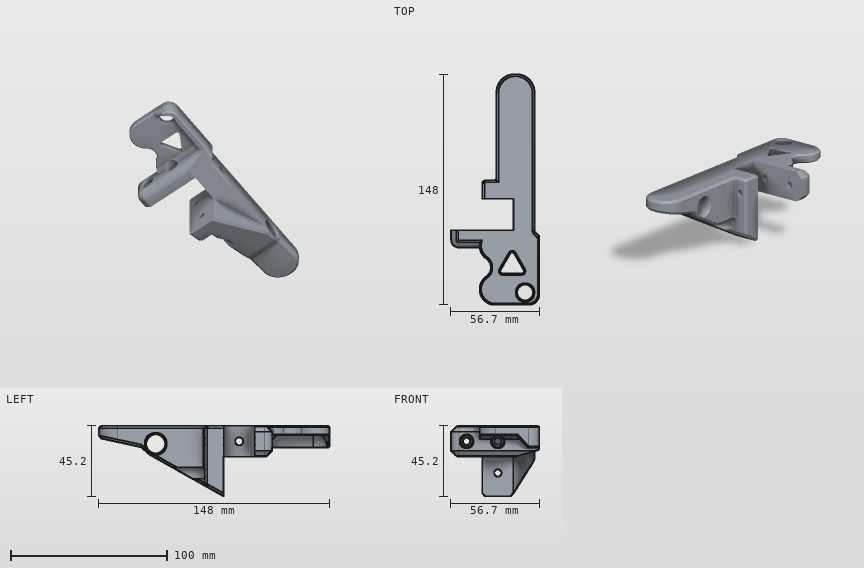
import cadquery as cq
import math

TUBE = 20.0
ARM_TIP_X = -40.0
RIGHT_X = 16.65
FRONT_Y = -48.0
GRIP_END_Y = 100.0
ARM_HEIGHT = 20.0

GRIP_LEFT_X = -11.0
GRIP_RIGHT_X = RIGHT_X - 3.0
GRIP_TIP_RADIUS = 12.0
GRIP_TOP_CHAMFER = 1.5
GRIP_BOTTOM_CHAMFER = 1.7
GRIP_HEIGHT = 45.2
BLOCK_BACK_Y = TUBE + 12.0
TIP_DEPTH = 7.9
UNDERSIDE_STEP = (72.8, -13.8)
UNDERSIDE_BEND = (67.4, -18.5)
BACK_CORNER = 0.9
FINGER_HOLE_Y = 63.5
FINGER_HOLE_Z = -11.6
FINGER_HOLE_DIAMETER = 12.1
FINGER_HOLE_CHAMFER = 1.1

SLOPE_END_Z = -15.5
RELIEF_KNEE = (11.8, 53.3)
RELIEF_END_Y = 60.0

ARM_FRONT_Y = -11.2
ARM_CORNER_RADIUS = 5.0
ARM_BEVEL_HEIGHT = 4.0
ARM_FLAT_HEIGHT = 0.7
ARM_FLAT_INSET = 1.5

PLATE_THICKNESS = 6.2
PLATE_CHAMFER = 1.0
LOBE_RADIUS = 10.0
LOBE_X = -11.7
SCALLOP_RADIUS = 7.1
HEAD_CORNER_RADIUS = 7.0
SHOULDER_Y = -1.0
RAIL_DEPTH = 14.0
RAIL_INNER_X = 13.0
LIP_INNER_Y = FRONT_Y + HEAD_CORNER_RADIUS
LIP_TOP_X = 2.0
LIP_BOTTOM_X = 9.3
RAIL_CHAMFER = 0.9
GUSSET = 2.6

ROUND_X = 7.5
ROUND_Y = -40.0
ROUND_DIAMETER = 10.1
RECESS_DIAMETER = 12.1
TRIANGLE_X = -0.8
TRIANGLE_Y = -22.8
TRIANGLE_INRADIUS = 5.0
TRIANGLE_FILLET = 1.5
SCREW_DIAMETER = 4.5
HEAD_BORE_DIAMETER = 7.5
HEAD_BORE_DEPTH = 4.0
HEAD_RIM_DIAMETER = 9.0
SCREW_Z = -10.0
ARM_SCREWS_X = (-1.5 * TUBE, -0.5 * TUBE)
SIDE_HOLE_DIAMETER = 5.0
LOW_SCREW_X = -0.5 * TUBE
LOW_SCREW_Z = -30.3
BLOCK_HOLE_X = -15.0


def box(x0, x1, y0, y1, z0, z1):
    return cq.Workplane("XY").box(x1 - x0, y1 - y0, z1 - z0, centered=False).translate((x0, y0, z0))


def rod(diameter, start, direction, length):
    return cq.Workplane(cq.Solid.makeCylinder(diameter / 2, length, cq.Vector(*start), cq.Vector(*direction)))


def cone(start_diameter, end_diameter, start, direction, length):
    return cq.Workplane(
        cq.Solid.makeCone(start_diameter / 2, end_diameter / 2, length, cq.Vector(*start), cq.Vector(*direction))
    )


def below_slope(y0, y1):
    """Wedge of space under the sloping underside, right of X = 0."""
    return (
        cq.Workplane("XZ", origin=(0, y1, 0))
        .polyline([(0, -ARM_HEIGHT), (RIGHT_X, SLOPE_END_Z), (RIGHT_X, -GRIP_HEIGHT), (0, -GRIP_HEIGHT)])
        .close()
        .extrude(y1 - y0)
    )


def grip_profile():
    """Side shape of the grip between X = -TUBE and the right side of the grip."""
    return (
        cq.Workplane("YZ", origin=(-TUBE, 0, 0))
        .polyline([(TUBE, 0), (GRIP_END_Y, 0), (GRIP_END_Y, -TIP_DEPTH),
                   UNDERSIDE_STEP, UNDERSIDE_BEND, (TUBE, -GRIP_HEIGHT)])
        .close()
        .extrude(TUBE + GRIP_RIGHT_X)
    )


def underside_bevel(wall_start, wall_end, inward):
    """Space above a bevel that follows the underside along an upright wall.

    The wall runs through two (x, y) points; inward is +1 or -1, the X direction into the material.
    """
    (x0, y0), (x1, y1) = wall_start, wall_end
    lean = (x1 - x0) / (y1 - y0)
    tip_slope = (UNDERSIDE_STEP[1] + TIP_DEPTH) / (GRIP_END_Y - UNDERSIDE_STEP[0])
    rise = GRIP_BOTTOM_CHAMFER * math.hypot(1, tip_slope)
    steepness = rise / GRIP_BOTTOM_CHAMFER / math.hypot(1, lean)
    reach = RIGHT_X - ARM_TIP_X
    drop = steepness * reach
    underside = [(TUBE, -GRIP_HEIGHT), UNDERSIDE_BEND, UNDERSIDE_STEP]
    section = [(y, z + rise) for y, z in underside]
    section += [(UNDERSIDE_STEP[0], drop), (TUBE, drop)]
    points = [cq.Vector(x0 + lean * (y - y0) - inward * reach, y, z + drop) for y, z in section]
    face = cq.Face.makeFromWires(cq.Wire.makePolygon(points, close=True))
    return cq.Workplane(cq.Solid.extrudeLinear(face, cq.Vector(2 * inward * reach, 0, -2 * drop)))


def make_handle():
    step_y = UNDERSIDE_STEP[0]
    bar = box(GRIP_LEFT_X, GRIP_RIGHT_X, TUBE, GRIP_END_Y, -GRIP_HEIGHT, 0)
    bar = bar.edges("|Z and >Y").fillet(GRIP_TIP_RADIUS)
    bar = bar.faces(">Z").edges("not <Y").chamfer(GRIP_TOP_CHAMFER).intersect(grip_profile())

    tip = bar.intersect(box(GRIP_LEFT_X, GRIP_RIGHT_X, step_y, GRIP_END_Y, -GRIP_HEIGHT, 0))
    tip = tip.faces("<Z").edges("not <Y").chamfer(GRIP_BOTTOM_CHAMFER)

    relief = (
        cq.Workplane("XY", origin=(0, 0, -GRIP_HEIGHT))
        .polyline([(0, TUBE), RELIEF_KNEE, (GRIP_RIGHT_X, RELIEF_END_Y), (RIGHT_X, RELIEF_END_Y), (RIGHT_X, TUBE)])
        .close()
        .extrude(GRIP_HEIGHT)
        .intersect(below_slope(TUBE, RELIEF_END_Y))
    )
    root = bar.intersect(box(GRIP_LEFT_X, GRIP_RIGHT_X, TUBE, step_y, -GRIP_HEIGHT, 0)).cut(relief)
    root = root.intersect(underside_bevel((GRIP_LEFT_X, TUBE), (GRIP_LEFT_X, step_y), 1))
    root = root.intersect(underside_bevel((GRIP_RIGHT_X, TUBE), (GRIP_RIGHT_X, step_y), -1))
    root = root.intersect(underside_bevel((0, TUBE), RELIEF_KNEE, -1))
    return root.union(tip)


def make_block():
    """Upright block behind the tube seat."""
    block = box(-TUBE, 0, TUBE, BLOCK_BACK_Y, -GRIP_HEIGHT, 0)
    block = block.edges("|Z and <X and >Y").chamfer(GRIP_TOP_CHAMFER)
    block = block.faces(">Z").edges("not (<Y or >X)").chamfer(GRIP_TOP_CHAMFER)
    block = block.intersect(grip_profile())
    return block.faces("<Z").edges("not <Y").chamfer(GRIP_BOTTOM_CHAMFER)


def make_back_corner():
    """Small sloped filling in the upright corner between the block back and the grip side."""
    return (
        cq.Workplane("XY", origin=(0, 0, LOW_SCREW_Z))
        .polyline([(GRIP_LEFT_X, BLOCK_BACK_Y), (GRIP_LEFT_X - BACK_CORNER, BLOCK_BACK_Y),
                   (GRIP_LEFT_X, BLOCK_BACK_Y + BACK_CORNER)])
        .close()
        .extrude(-LOW_SCREW_Z - GRIP_TOP_CHAMFER)
    )


def make_bridge():
    """Side wall of the tube seat, which joins the grip to the head."""
    bridge = box(0, GRIP_RIGHT_X, SHOULDER_Y, TUBE, -ARM_HEIGHT, 0)
    bridge = bridge.edges(">X and >Z").chamfer(GRIP_TOP_CHAMFER)
    bridge = bridge.cut(below_slope(SHOULDER_Y, TUBE))
    return bridge.faces(">X").edges("<Z").chamfer(RAIL_CHAMFER)


def head_outline():
    """Outline of the head: two round lobes on the left joined by a finger scallop, straight on the right."""
    low_y = FRONT_Y + LOBE_RADIUS
    high_y = -LOBE_RADIUS
    mid_y = (low_y + high_y) / 2
    reach = LOBE_RADIUS + SCALLOP_RADIUS
    rise = mid_y - low_y
    run = math.sqrt(reach ** 2 - rise ** 2)
    blend_x = LOBE_X - run * LOBE_RADIUS / reach
    blend_rise = rise * LOBE_RADIUS / reach
    step = RIGHT_X - GRIP_RIGHT_X
    corner_x = RIGHT_X - HEAD_CORNER_RADIUS
    corner_y = FRONT_Y + HEAD_CORNER_RADIUS
    diagonal = math.sqrt(0.5) * HEAD_CORNER_RADIUS
    return (
        cq.Workplane("XY")
        .moveTo(LOBE_X, 0)
        .lineTo(GRIP_RIGHT_X, 0)
        .lineTo(GRIP_RIGHT_X, SHOULDER_Y)
        .lineTo(RIGHT_X, SHOULDER_Y - step)
        .lineTo(RIGHT_X, corner_y)
        .threePointArc((corner_x + diagonal, corner_y - diagonal), (corner_x, FRONT_Y))
        .lineTo(LOBE_X, FRONT_Y)
        .threePointArc((LOBE_X - LOBE_RADIUS, low_y), (blend_x, low_y + blend_rise))
        .threePointArc((LOBE_X - run + SCALLOP_RADIUS, mid_y), (blend_x, high_y - blend_rise))
        .threePointArc((LOBE_X - LOBE_RADIUS, high_y), (LOBE_X, 0))
        .close()
    )


def shoulder_bevel():
    """Space above the wider top bevel on the diagonal shoulder of the head."""
    step = RIGHT_X - GRIP_RIGHT_X
    middle = (GRIP_RIGHT_X + step / 2, SHOULDER_Y - step / 2, 0)
    return (
        cq.Workplane(cq.Plane(origin=middle, xDir=(1, 1, 0), normal=(1, -1, 0)))
        .polyline([(0, 0), (-GRIP_TOP_CHAMFER, 0), (0, -GRIP_TOP_CHAMFER)])
        .close()
        .extrude(step * math.sqrt(0.5), both=True)
    )


def make_plate():
    plate = head_outline().extrude(-PLATE_THICKNESS)
    plate = plate.faces(">Z").edges("not >Y").chamfer(PLATE_CHAMFER).cut(shoulder_bevel())
    return plate.faces("<Z").edges("not >Y").chamfer(RAIL_CHAMFER)


def make_rail():
    """Deep rail along the right side, with a lip that runs out at a slant along the front."""
    top_z = RAIL_CHAMFER - PLATE_THICKNESS
    run_out = (LIP_BOTTOM_X - LIP_TOP_X) / (RAIL_DEPTH - PLATE_THICKNESS)
    rail = head_outline().extrude(-RAIL_DEPTH)
    rail = rail.faces("<Z").edges("not >Y").chamfer(RAIL_CHAMFER)
    rail = rail.intersect(box(ARM_TIP_X, RIGHT_X, FRONT_Y, 0, -RAIL_DEPTH, top_z))
    rail = rail.cut(box(ARM_TIP_X, RAIL_INNER_X, LIP_INNER_Y, 0, -RAIL_DEPTH, top_z))

    bevel_run = RAIL_CHAMFER * math.hypot(1, run_out)
    slant = [(LIP_TOP_X - run_out * RAIL_CHAMFER, top_z), (LIP_BOTTOM_X, -RAIL_DEPTH),
             (ARM_TIP_X, -RAIL_DEPTH), (ARM_TIP_X, top_z)]
    space = cq.Face.makeFromWires(
        cq.Wire.makePolygon([cq.Vector(x, LIP_INNER_Y, z) for x, z in slant], close=True)
    )
    rail = rail.cut(cq.Workplane(cq.Solid.extrudeLinear(space, cq.Vector(0, FRONT_Y - LIP_INNER_Y, 0))))
    bevel_start = space.translate(cq.Vector(bevel_run, FRONT_Y - LIP_INNER_Y, 0))
    bevel = cq.Solid.extrudeLinear(bevel_start, cq.Vector(-bevel_run, RAIL_CHAMFER, 0))
    return rail.cut(cq.Workplane(bevel))


def arm_layer(inset, z, height, taper_inset):
    """One layer of the arm: its left and front sides are inset, and inset further towards its far end."""
    left, front = ARM_TIP_X + inset, ARM_FRONT_Y + inset
    back, right = TUBE, RIGHT_X + TUBE
    radius = ARM_CORNER_RADIUS - inset
    bend = radius * (1 - math.sqrt(0.5))
    return (
        cq.Workplane("XY", origin=(0, 0, z))
        .moveTo(right, back)
        .lineTo(left, back)
        .lineTo(left, front + radius)
        .threePointArc((left + bend, front + bend), (left + radius, front))
        .lineTo(right, front)
        .close()
        .extrude(height, taper=math.degrees(math.atan2(taper_inset, abs(height))))
    )


def make_arm():
    """Arm along the front of the tube seat, bevelled in two stages along its front and left edges."""
    steep = ARM_BEVEL_HEIGHT - ARM_FLAT_HEIGHT
    low_z, high_z = -ARM_HEIGHT + ARM_BEVEL_HEIGHT, -ARM_BEVEL_HEIGHT
    arm = arm_layer(0, low_z, high_z - low_z, 0)
    for z, side in ((high_z, 1), (low_z, -1)):
        arm = arm.union(arm_layer(0, z, side * steep, steep))
        arm = arm.union(arm_layer(steep, z + side * steep, side * ARM_FLAT_HEIGHT, ARM_FLAT_INSET))
    step = RIGHT_X - GRIP_RIGHT_X
    footprint = (
        cq.Workplane("XY", origin=(0, 0, -ARM_HEIGHT))
        .polyline([(ARM_TIP_X, 0), (GRIP_RIGHT_X, 0), (GRIP_RIGHT_X, SHOULDER_Y), (RIGHT_X, SHOULDER_Y - step),
                   (RIGHT_X, ARM_FRONT_Y), (ARM_TIP_X, ARM_FRONT_Y)])
        .close()
        .extrude(ARM_HEIGHT)
    )
    arm = arm.intersect(footprint).cut(below_slope(ARM_FRONT_Y, 0))
    plate_seat = box(0, RIGHT_X, ARM_FRONT_Y, 0, -PLATE_THICKNESS / 2, 0)
    arm = arm.cut(plate_seat)
    return arm.faces(">X").edges("<Z").chamfer(RAIL_CHAMFER)


def make_gusset():
    """Sloped fillet of material in the corner between the arm front and the plate underside."""
    return (
        cq.Workplane("YZ", origin=(LOBE_X - LOBE_RADIUS, 0, 0))
        .polyline([(ARM_FRONT_Y, -PLATE_THICKNESS), (ARM_FRONT_Y - GUSSET, -PLATE_THICKNESS),
                   (ARM_FRONT_Y, -PLATE_THICKNESS - GUSSET)])
        .close()
        .extrude(RAIL_INNER_X - LOBE_X + LOBE_RADIUS)
        .intersect(head_outline().extrude(-RAIL_DEPTH))
    )


def cut_plate_openings(body):
    triangle = (
        cq.Workplane("XY")
        .center(TRIANGLE_X, TRIANGLE_Y)
        .transformed(rotate=(0, 0, 90))
        .polygon(3, 4 * TRIANGLE_INRADIUS)
        .extrude(-PLATE_THICKNESS)
        .edges("|Z")
        .fillet(TRIANGLE_FILLET)
    )
    body = body.cut(triangle)
    body = body.cut(rod(ROUND_DIAMETER, (ROUND_X, ROUND_Y, -RAIL_DEPTH), (0, 0, 1), RAIL_DEPTH))
    body = body.cut(
        rod(RECESS_DIAMETER, (ROUND_X, ROUND_Y, -RAIL_DEPTH), (0, 0, 1), RAIL_DEPTH - PLATE_THICKNESS)
    )
    rims = body.faces(">Z").edges().filter(is_opening_rim)
    return rims.chamfer(PLATE_CHAMFER)


def is_opening_rim(edge):
    """True for top edges around the triangle and the round hole."""
    middle = edge.Center()
    near_triangle = math.hypot(middle.x - TRIANGLE_X, middle.y - TRIANGLE_Y) < 2 * TRIANGLE_INRADIUS
    near_round = math.hypot(middle.x - ROUND_X, middle.y - ROUND_Y) < ROUND_DIAMETER / 2
    return near_triangle or near_round


def cut_finger_hole(body):
    width = GRIP_RIGHT_X - GRIP_LEFT_X
    rim_diameter = FINGER_HOLE_DIAMETER + 2 * FINGER_HOLE_CHAMFER
    body = body.cut(rod(FINGER_HOLE_DIAMETER, (GRIP_LEFT_X, FINGER_HOLE_Y, FINGER_HOLE_Z), (1, 0, 0), width))
    for x, inward in ((GRIP_LEFT_X, 1), (GRIP_RIGHT_X, -1)):
        body = body.cut(cone(rim_diameter, FINGER_HOLE_DIAMETER, (x, FINGER_HOLE_Y, FINGER_HOLE_Z),
                             (inward, 0, 0), FINGER_HOLE_CHAMFER))
    return body


def cut_arm_screws(body):
    rim_depth = (HEAD_RIM_DIAMETER - HEAD_BORE_DIAMETER) / 2
    for x in ARM_SCREWS_X:
        start = (x, ARM_FRONT_Y, SCREW_Z)
        clear = (x, ARM_FRONT_Y - GUSSET, SCREW_Z)
        body = body.cut(rod(SCREW_DIAMETER, start, (0, 1, 0), -ARM_FRONT_Y))
        body = body.cut(rod(HEAD_BORE_DIAMETER, clear, (0, 1, 0), GUSSET + HEAD_BORE_DEPTH))
        body = body.cut(cone(HEAD_RIM_DIAMETER, HEAD_BORE_DIAMETER, start, (0, 1, 0), rim_depth))
    return body


def cut_seat_screws(body):
    """Screw holes that open on the tube seat: through its side wall and through the block behind it."""
    body = body.cut(rod(SIDE_HOLE_DIAMETER, (0, TUBE / 2, SCREW_Z), (1, 0, 0), GRIP_RIGHT_X))
    depth = BLOCK_BACK_Y - TUBE
    body = body.cut(rod(SCREW_DIAMETER, (BLOCK_HOLE_X, TUBE, SCREW_Z), (0, 1, 0), depth))
    body = body.cut(rod(SCREW_DIAMETER, (LOW_SCREW_X, TUBE, LOW_SCREW_Z), (0, 1, 0), depth))
    driver_path = rod(HEAD_BORE_DIAMETER, (LOW_SCREW_X, BLOCK_BACK_Y, LOW_SCREW_Z), (0, 1, 0), GRIP_END_Y)
    return body.cut(driver_path)


result = make_handle()
for make_piece in (make_block, make_back_corner, make_bridge, make_plate, make_rail, make_arm, make_gusset):
    result = result.union(make_piece())
result = cut_plate_openings(result)
result = cut_finger_hole(result)
result = cut_arm_screws(result)
result = cut_seat_screws(result)